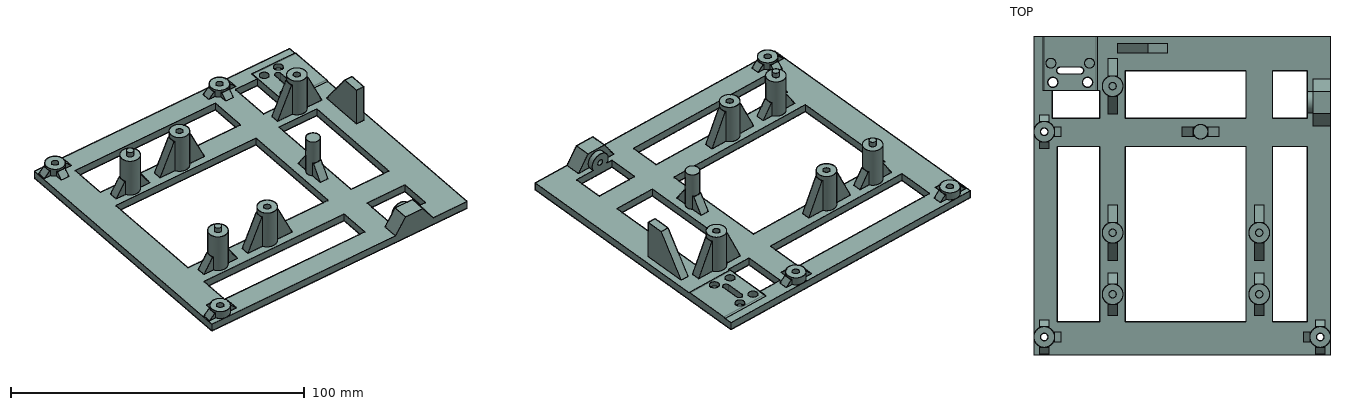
import cadquery as cq

PLATE_X = 101.0
PLATE_Y = 108.5
PLATE_T = 3.0
TOTAL_Z = 20.0

BORDER = 8.0
COLUMN_LEFT = (22.4, 31.1)
COLUMN_RIGHT = (72.2, 81.3)
LOWER_ROW = (11.4, 71.0)
UPPER_ROW = (80.7, 96.8)
SMALL_OPENING_LEFT = 6.3

STANDOFF_D = 7.0
STANDOFF_HOLE_D = 2.5
POST_H = 15.0
RIB_W = 3.3
POST_X = (26.8, 76.7)
PIN_POST_Y = 20.7
HOLE_POST_PITCH_Y = 49.9
HOLE_POST_Y = 41.7
TALL_RIB_REACH = 9.4
TALL_RIB_H = 13.0
SHORT_RIB_REACH = 7.2
SHORT_RIB_H = 5.8
PIN_D = 2.5

CORNER_INSET_X = STANDOFF_D / 2
CORNER_Y = (6.2, 76.1)
CORNER_H = 3.0
CORNER_RIB_REACH = 5.8
CORNER_RIB_H = 2.2

MIDDLE_X = 56.7
MIDDLE_Y = 76.1
MIDDLE_D = 5.0
MIDDLE_RIB_REACH = 6.3

TAB_X = (28.5, 45.6)
TAB_TOP_LEFT = 38.8
TAB_Y = (102.9, 106.0)

BLOCK_Y = 86.0
BLOCK_T = 6.0
BLOCK_H = 6.3
BLOCK_BASE = 16.1
BLOCK_TOP = 7.5
BOSS_D = 7.3
BOSS_Z = 1.8
AXLE_HOLE_D = 2.2

PAD_X = 12.4
PAD_W = 19.1
PAD_Y = 90.1
PAD_TOP = PLATE_T + 0.27
PAD_ROUND = 0.81
PAD_HOLE_D = 3.4
PAD_BLIND_DEPTH = 1.8
PAD_BLIND_SPACING = 13.1
PAD_BLIND_Y = 99.4
PAD_THROUGH_SPACING = 11.8
PAD_THROUGH_Y = 92.9
PAD_SLOT_L = 9.1
PAD_SLOT_W = 2.3
PAD_SLOT_Y = 96.9


def box(x_range, y_range, z_range):
    """Box between three pairs of limits."""
    size = [high - low for low, high in (x_range, y_range, z_range)]
    corner = (x_range[0], y_range[0], z_range[0])
    return cq.Workplane("XY").box(*size, centered=False).translate(corner)


def cylinder(x, y, diameter, z_low, z_high):
    """Upright cylinder between two heights."""
    return cq.Workplane("XY", origin=(x, y, z_low)).circle(diameter / 2).extrude(z_high - z_low)


def rib(x, y, angle, post_radius, reach, height):
    """Sloping rib from a post axis; height is where the slope meets the post wall."""
    outline = [(0, 0), (reach, 0), (post_radius, height), (0, height)]
    shape = cq.Workplane("XZ").polyline(outline).close().extrude(RIB_W / 2, both=True)
    return shape.rotate((0, 0, 0), (0, 0, 1), angle).translate((x, y, PLATE_T))


def ribbed_post(x, y, diameter, height, rib_angles, reach, rib_height):
    """Round post on the plate with ribs in the given directions."""
    post = cylinder(x, y, diameter, PLATE_T, PLATE_T + height)
    for angle in rib_angles:
        post = post.union(rib(x, y, angle, diameter / 2, reach, rib_height))
    return post


def frame():
    """Plate with six rectangular openings."""
    plate = box((0, PLATE_X), (0, PLATE_Y), (0, PLATE_T))
    middle = (COLUMN_LEFT[1], COLUMN_RIGHT[0])
    right = (COLUMN_RIGHT[1], PLATE_X - BORDER)
    openings = [
        ((BORDER, COLUMN_LEFT[0]), LOWER_ROW),
        (middle, LOWER_ROW),
        (right, LOWER_ROW),
        ((SMALL_OPENING_LEFT, COLUMN_LEFT[0]), (UPPER_ROW[0], PAD_Y)),
        (middle, UPPER_ROW),
        (right, UPPER_ROW),
    ]
    for x_range, y_range in openings:
        plate = plate.cut(box(x_range, y_range, (0, PLATE_T)))
    return plate


def pad():
    """Slightly raised pad with rounded long edges, standing in the frame's corner."""
    width = (PAD_X - PAD_W / 2, PAD_X + PAD_W / 2)
    slab = box(width, (PAD_Y, PLATE_Y), (0, PAD_TOP))
    return slab.edges("|Y and >Z").fillet(PAD_ROUND)


def pad_openings():
    """Blind and through holes of the pad, and its slot."""
    openings = (
        cq.Workplane("XY", origin=(PAD_X, PAD_SLOT_Y, 0))
        .slot2D(PAD_SLOT_L, PAD_SLOT_W)
        .extrude(PAD_TOP)
    )
    for side in (-1, 1):
        blind_x = PAD_X + side * PAD_BLIND_SPACING / 2
        through_x = PAD_X + side * PAD_THROUGH_SPACING / 2
        blind = cylinder(blind_x, PAD_BLIND_Y, PAD_HOLE_D, PAD_TOP - PAD_BLIND_DEPTH, PAD_TOP)
        through = cylinder(through_x, PAD_THROUGH_Y, PAD_HOLE_D, 0, PAD_TOP)
        openings = openings.union(blind).union(through)
    return openings


def tab():
    """Upright tab with one sloping end."""
    outline = [(TAB_X[0], 0), (TAB_X[1], 0), (TAB_X[1], POST_H), (TAB_TOP_LEFT, POST_H)]
    shape = cq.Workplane("XZ").polyline(outline).close().extrude(-(TAB_Y[1] - TAB_Y[0]))
    return shape.translate((0, TAB_Y[0], PLATE_T))


def axle_block():
    """Trapezoid block at the right edge with a round boss facing inward."""
    outline = [
        (-BLOCK_BASE / 2, 0),
        (BLOCK_BASE / 2, 0),
        (BLOCK_TOP / 2, BLOCK_H),
        (-BLOCK_TOP / 2, BLOCK_H),
    ]
    block_left = PLATE_X - BLOCK_T
    boss_left = PLATE_X - BORDER
    block = (
        cq.Workplane("YZ", origin=(block_left, BLOCK_Y, PLATE_T))
        .polyline(outline)
        .close()
        .extrude(BLOCK_T)
    )
    axis = cq.Workplane("YZ", origin=(boss_left, BLOCK_Y, PLATE_T + BOSS_Z))
    boss = axis.circle(BOSS_D / 2).extrude(block_left - boss_left)
    hole = axis.circle(AXLE_HOLE_D / 2).extrude(block_left - boss_left)
    return block.union(boss).cut(hole)


result = frame().union(pad()).cut(pad_openings()).union(tab()).union(axle_block())

hole_posts = [
    (POST_X[0], HOLE_POST_Y),
    (POST_X[1], HOLE_POST_Y),
    (POST_X[0], HOLE_POST_Y + HOLE_POST_PITCH_Y),
]
for x, y in hole_posts:
    post = ribbed_post(x, y, STANDOFF_D, POST_H, (90, -90), TALL_RIB_REACH, TALL_RIB_H)
    hole = cylinder(x, y, STANDOFF_HOLE_D, PLATE_T, PLATE_T + POST_H)
    result = result.union(post.cut(hole))

for x in POST_X:
    post = ribbed_post(x, PIN_POST_Y, STANDOFF_D, POST_H, (90, -90), SHORT_RIB_REACH, SHORT_RIB_H)
    pin = cylinder(x, PIN_POST_Y, PIN_D, PLATE_T, TOTAL_Z)
    result = result.union(post).union(pin)

result = result.union(
    ribbed_post(MIDDLE_X, MIDDLE_Y, MIDDLE_D, POST_H, (0, 180), MIDDLE_RIB_REACH, SHORT_RIB_H)
)

right_inset = PLATE_X - CORNER_INSET_X
low_standoffs = [
    (CORNER_INSET_X, CORNER_Y[0], 0),
    (CORNER_INSET_X, CORNER_Y[1], 0),
    (right_inset, CORNER_Y[0], 180),
]
for x, y, inward in low_standoffs:
    standoff = ribbed_post(
        x, y, STANDOFF_D, CORNER_H, (90, -90, inward), CORNER_RIB_REACH, CORNER_RIB_H
    )
    result = result.union(standoff).cut(cylinder(x, y, STANDOFF_HOLE_D, 0, PLATE_T + CORNER_H))